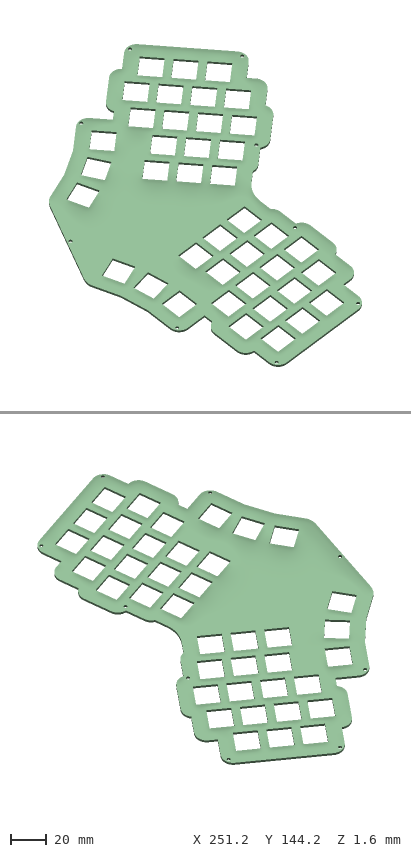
import cadquery as cq
import math


THICKNESS = 1.6

HAND_TILT = 25.0
KEY_PITCH = 19.0
SWITCH_SIZE = 14.0
FIRST_COLUMN_ACROSS = -103.2
COLUMNS = [(3, 7.0), (4, 19.4), (4, 24.5), (3, 19.6), (3, 17.1)]

THUMB_COLUMN = 3
THUMB_ALONG = -52.5
THUMB_ARC_RADIUS = 120.2
THUMB_FAN_STEP = 10.0
THUMB_COUNT = 3

KEY_MARGIN = 16.0
CORNER_RADIUS = 7.0
BOTTOM_Y = -72.08
BOTTOM_CORNER_RADIUS = 10.0
TOP_VALLEY_RADIUS = 18.0

SCREW_DIAMETER = 2.2
OUTER_TOP_SCREW_OFFSET = (-12.8, 12.0)
OUTER_BOTTOM_SCREW_OFFSET = (-12.0, -13.0)
THUMB_SCREW_OFFSET = (-11.8, -13.3)
INNER_SCREW_COLUMN = 2
INNER_TOP_SCREW_OFFSET = (13.9, 8.7)
BOTTOM_SCREW_INSET = 2.1


def tilted(across, along, tilt=HAND_TILT):
    """Plate position of a point given along axes turned clockwise by the tilt."""
    angle = math.radians(tilt)
    x = across * math.cos(angle) + along * math.sin(angle)
    y = along * math.cos(angle) - across * math.sin(angle)
    return x, y


def shifted(point, across, along, tilt=HAND_TILT):
    """The point moved by a distance across and along the tilted axes."""
    step_x, step_y = tilted(across, along, tilt)
    return point[0] + step_x, point[1] + step_y


def column_across(index):
    return FIRST_COLUMN_ACROSS + index * KEY_PITCH


def key_center(column, row):
    """Centre of a column key; row 0 is the top key."""
    top_along = COLUMNS[column][1]
    return tilted(column_across(column), top_along - row * KEY_PITCH)


def bottom_key_center(column):
    return key_center(column, COLUMNS[column][0] - 1)


def thumb_keys():
    """Centre and tilt of each thumb key, outermost first."""
    first = tilted(column_across(THUMB_COLUMN), THUMB_ALONG)
    arc_center = shifted(first, 0, -THUMB_ARC_RADIUS)
    tilts = [HAND_TILT + i * THUMB_FAN_STEP for i in range(THUMB_COUNT)]
    return [(shifted(arc_center, 0, THUMB_ARC_RADIUS, tilt), tilt) for tilt in tilts]


def tilted_block(center, width, height, tilt):
    block = cq.Workplane("XY").rect(width, height).extrude(THICKNESS)
    return block.rotate((0, 0, 0), (0, 0, 1), -tilt).translate((center[0], center[1], 0))


def border_pad(center, rows, tilt):
    """Rounded pad that surrounds a straight run of keys."""
    height = 2 * KEY_MARGIN + (rows - 1) * KEY_PITCH
    pad = tilted_block(center, 2 * KEY_MARGIN, height, tilt)
    return pad.edges("|Z").fillet(CORNER_RADIUS)


def left_pads():
    pads = cq.Workplane("XY")
    for column, (rows, _) in enumerate(COLUMNS):
        pads = pads.union(border_pad(key_center(column, (rows - 1) / 2), rows, HAND_TILT))
    for center, tilt in thumb_keys():
        pads = pads.union(border_pad(center, 1, tilt))
    return pads


def central_web():
    """Web that joins both hands, with a rounded valley on top and a flat bottom."""
    last = len(COLUMNS) - 1
    top_edge_along = COLUMNS[last][1] + KEY_MARGIN
    valley = (0, top_edge_along / math.cos(math.radians(HAND_TILT)))
    column_top = shifted(key_center(last, 0), 0, KEY_MARGIN)
    thumb_centers = [center for center, _ in thumb_keys()]
    inner_thumb, inner_tilt = thumb_keys()[-1]
    thumb_edge = shifted(inner_thumb, 0, -KEY_MARGIN, inner_tilt)
    bottom_drop = thumb_edge[1] - BOTTOM_Y
    bottom_corner_x = thumb_edge[0] + bottom_drop / math.tan(math.radians(inner_tilt))
    left_side = [
        column_top,
        key_center(last, 0),
        bottom_key_center(THUMB_COLUMN),
        bottom_key_center(THUMB_COLUMN - 1),
        thumb_centers[0],
        inner_thumb,
        thumb_edge,
        (bottom_corner_x, BOTTOM_Y),
    ]
    right_side = [(-x, y) for x, y in reversed(left_side)]
    web = cq.Workplane("XY").polyline([valley] + left_side + right_side).close().extrude(THICKNESS)
    web = web.edges("|Z and <Y").fillet(BOTTOM_CORNER_RADIUS)
    valley_edge = cq.selectors.NearestToPointSelector((valley[0], valley[1], THICKNESS / 2))
    return web.edges("|Z").edges(valley_edge).fillet(TOP_VALLEY_RADIUS)


def switch_cutout(center, tilt):
    return tilted_block(center, SWITCH_SIZE, SWITCH_SIZE, tilt)


def left_switch_cutouts():
    cutouts = cq.Workplane("XY")
    for column, (rows, _) in enumerate(COLUMNS):
        for row in range(rows):
            cutouts = cutouts.add(switch_cutout(key_center(column, row), HAND_TILT))
    for center, tilt in thumb_keys():
        cutouts = cutouts.add(switch_cutout(center, tilt))
    return cutouts.combine()


def screw_positions():
    outer_thumb = thumb_keys()[0][0]
    left = [
        shifted(key_center(0, 0), *OUTER_TOP_SCREW_OFFSET),
        shifted(bottom_key_center(0), *OUTER_BOTTOM_SCREW_OFFSET),
        shifted(outer_thumb, *THUMB_SCREW_OFFSET),
        shifted(key_center(INNER_SCREW_COLUMN, 0), *INNER_TOP_SCREW_OFFSET),
    ]
    right = [(-x, y) for x, y in left]
    return left + right + [(0, BOTTOM_Y + BOTTOM_SCREW_INSET)]


def both_hands(left):
    return left.union(left.mirror("YZ"))


plate = both_hands(left_pads()).union(central_web())
plate = plate.cut(both_hands(left_switch_cutouts()))
screw_holes = cq.Workplane("XY").pushPoints(screw_positions())
screw_holes = screw_holes.circle(SCREW_DIAMETER / 2).extrude(THICKNESS)
result = plate.cut(screw_holes)